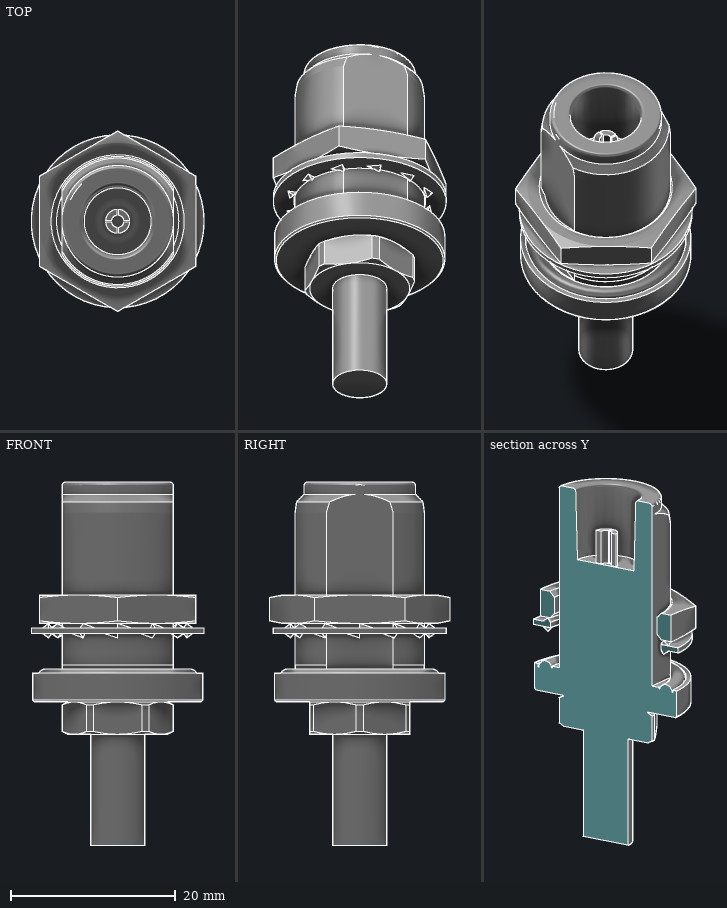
import cadquery as cq
import math

total_height = 44.15
hex_bottom_z = 13.5
flange_bottom_z = 17.45
flange_top_z = 20.93
thread_bottom_z = 21.9
washer_bottom_z = 25.75
nut_bottom_z = 26.98
thread_top_z = 40.4
lead_in_top_z = 41.7
collar_bottom_z = 42.65

cable_radius = 6.6 / 2
flange_radius = 20.7 / 2
flange_chamfer = 0.2
thread_radius = 15.75 / 2
shank_radius = 7.85
lead_in_radius = 7.7
collar_radius = 13.55 / 2
collar_fillet = 0.5
flat_width = 13.5

rear_hex_across_flats = 12.15
rear_hex_corner_radius = 6.75
rear_hex_chamfer_height = 0.35

bead_section_radius = 0.95
bead_ring_radius = 8.75
bead_protrusion = 0.55
groove_clearance = 0.05
groove_inner_radius = bead_ring_radius - bead_section_radius
groove_outer_radius = bead_ring_radius + bead_section_radius + groove_clearance

bore_mouth_radius = 4.33
bore_floor_radius = 4.05
bore_depth = 9.0
bore_fillet = 0.45
contact_radius = 1.45
contact_hole_radius = 0.75
contact_tip_depth = 4.85
contact_slot_width = 0.18

nut_across_flats = 19.0
nut_height = 3.45
nut_chamfer_drop = 0.3
nut_bore_radius = 7.4
nut_countersink_radius = 8.1

washer_radius = 10.5
washer_bore_radius = 8.0
washer_thickness = 0.7
tooth_count = 12
tooth_root_inner_radius = washer_bore_radius
tooth_root_outer_radius = 9.1
tooth_tip_radius = 8.4
tooth_length = 1.6


def cylinder(radius, bottom_z, top_z):
    return cq.Workplane("XY", origin=(0, 0, bottom_z)).circle(radius).extrude(top_z - bottom_z)


def turned(points):
    """Solid of revolution about Z from (radius, z) points."""
    return cq.Workplane("XZ").polyline(points).close().revolve(360, (0, 0, 0), (0, 1, 0))


def chamfered_hexagon(across_flats, max_radius, chamfer, bottom_z, top_z, turn):
    """Hexagonal prism whose corners are turned down by a cone at both ends."""
    corner_diameter = across_flats / math.cos(math.radians(30))
    prism = (
        cq.Workplane("XY", origin=(0, 0, bottom_z))
        .polygon(6, corner_diameter)
        .extrude(top_z - bottom_z)
        .rotate((0, 0, 0), (0, 0, 1), turn)
    )
    face_radius = across_flats / 2
    envelope = turned([
        (0, bottom_z),
        (face_radius, bottom_z),
        (max_radius, bottom_z + chamfer),
        (max_radius, top_z - chamfer),
        (face_radius, top_z),
        (0, top_z),
    ])
    return prism.intersect(envelope)


def threaded_barrel():
    """Threaded barrel with its lead-in cones and collar, cut by two flats."""
    barrel = turned([
        (0, flange_bottom_z),
        (shank_radius, flange_bottom_z),
        (shank_radius, thread_bottom_z),
        (thread_radius, thread_bottom_z),
        (thread_radius, thread_top_z),
        (lead_in_radius, lead_in_top_z),
        (collar_radius, collar_bottom_z),
        (collar_radius, total_height),
        (0, total_height),
    ])
    barrel = barrel.faces(">Z").edges().fillet(collar_fillet)
    between_flats = cq.Workplane("XY").box(flat_width, 4 * thread_radius, 2 * total_height)
    return barrel.intersect(between_flats)


def flange():
    plate = cylinder(flange_radius, flange_bottom_z, flange_top_z)
    plate = plate.faces("<Z").edges().chamfer(flange_chamfer)
    bead_z = flange_top_z + bead_protrusion - bead_section_radius
    groove = cylinder(groove_outer_radius, bead_z, flange_top_z).cut(
        cylinder(groove_inner_radius, bead_z, flange_top_z)
    )
    bead = cq.Workplane("XY").add(
        cq.Solid.makeTorus(bead_ring_radius, bead_section_radius, cq.Vector(0, 0, bead_z))
    )
    return plate.cut(groove).union(bead)


def socket():
    """Tapered bore in the front end."""
    return turned([
        (0, total_height - bore_depth),
        (bore_floor_radius, total_height - bore_depth),
        (bore_mouth_radius, total_height),
        (0, total_height),
    ])


def contact():
    """Centre contact sleeve, split by two crossed slots."""
    floor_z = total_height - bore_depth
    tip_z = total_height - contact_tip_depth
    sleeve = cylinder(contact_radius, floor_z, tip_z).cut(cylinder(contact_hole_radius, floor_z, tip_z))
    slot = cq.Workplane("XY", origin=(0, 0, floor_z)).rect(3 * contact_radius, contact_slot_width)
    slot = slot.extrude(bore_depth)
    return sleeve.cut(slot).cut(slot.rotate((0, 0, 0), (0, 0, 1), 90))


def make_housing():
    housing = threaded_barrel().cut(socket())
    mouth = cq.selectors.RadiusNthSelector(0)
    housing = housing.faces(">Z").edges(mouth).fillet(bore_fillet)
    rear_hex = chamfered_hexagon(
        rear_hex_across_flats, rear_hex_corner_radius, rear_hex_chamfer_height,
        hex_bottom_z, flange_bottom_z, 0,
    )
    cable = cylinder(cable_radius, 0, hex_bottom_z)
    return housing.union(flange()).union(rear_hex).union(cable).union(contact())


def make_nut():
    """Hexagon nut whose bore closes in beside the flats of the barrel."""
    top_z = nut_bottom_z + nut_height
    corner_radius = nut_across_flats / 2 / math.cos(math.radians(30))
    nut = chamfered_hexagon(
        nut_across_flats, corner_radius, nut_chamfer_drop, nut_bottom_z, top_z, 30,
    )
    countersink_depth = nut_countersink_radius - nut_bore_radius
    bore = turned([
        (0, nut_bottom_z),
        (nut_countersink_radius, nut_bottom_z),
        (nut_bore_radius, nut_bottom_z + countersink_depth),
        (nut_bore_radius, top_z - countersink_depth),
        (nut_countersink_radius, top_z),
        (0, top_z),
    ])
    return nut.cut(bore).cut(threaded_barrel())


def make_tooth(face_z, tip_z, direction):
    """Four-sided barb on the -Y side, rising from face_z to tip_z and running out along X."""
    inner = cq.Vector(0, -tooth_root_inner_radius, face_z)
    outer = cq.Vector(0, -tooth_root_outer_radius, face_z)
    tail = cq.Vector(direction * tooth_length, -tooth_tip_radius, face_z)
    tip = cq.Vector(0, -tooth_tip_radius, tip_z)
    corner_sets = [(inner, outer, tail), (inner, outer, tip), (outer, tail, tip), (tail, inner, tip)]
    faces = [cq.Face.makeFromWires(cq.Wire.makePolygon([*corners], close=True)) for corners in corner_sets]
    return cq.Workplane("XY").add(cq.Solid.makeSolid(cq.Shell.makeShell(faces)))


def make_washer():
    top_z = washer_bottom_z + washer_thickness
    tooth_height = nut_bottom_z - top_z
    washer = cylinder(washer_radius, washer_bottom_z, top_z).cut(
        cylinder(washer_bore_radius, washer_bottom_z, top_z)
    )
    upper_tooth = make_tooth(top_z, nut_bottom_z, 1)
    lower_tooth = make_tooth(washer_bottom_z, washer_bottom_z - tooth_height, -1)
    for index in range(tooth_count):
        angle = index * 360 / tooth_count
        for tooth in (upper_tooth, lower_tooth):
            washer = washer.union(tooth.rotate((0, 0, 0), (0, 0, 1), angle))
    return washer


housing = make_housing()
nut = make_nut()
washer = make_washer()
result = cq.Compound.makeCompound([housing.solids().val(), nut.solids().val(), washer.solids().val()])